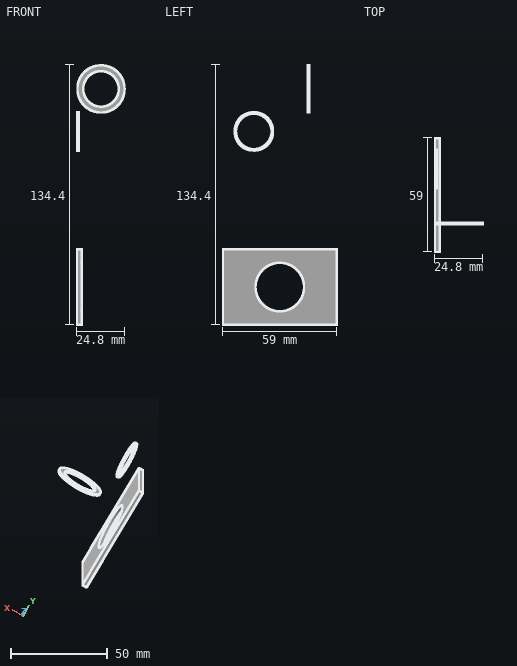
import cadquery as cq

plate_thickness = 2.5
plate_length = 59.0
plate_height = 39.2
plate_hole_diameter = 25.0

ring_bore = 18.3
ring_thickness = 1.0

overall_height = 134.4
washer_diameter = 24.6
washer_center_x = plate_hole_diameter / 2
washer_center_y = -14.8
washer_center_z = overall_height - washer_diameter / 2

narrow_ring_diameter = 20.0
narrow_ring_center_y = 13.5
narrow_ring_center_z = 100.1


def make_plate():
    """Rectangular plate with a central through hole."""
    return (
        cq.Workplane("YZ", origin=(0, 0, plate_height / 2))
        .rect(plate_length, plate_height)
        .circle(plate_hole_diameter / 2)
        .extrude(plate_thickness)
    )


def make_flat_ring(plane, center, outer_diameter):
    """Flat ring extruded from the given plane along its normal."""
    return (
        cq.Workplane(plane, origin=center)
        .circle(outer_diameter / 2)
        .circle(ring_bore / 2)
        .extrude(ring_thickness)
    )


plate = make_plate()

washer_back_y = washer_center_y + ring_thickness / 2
washer = make_flat_ring("XZ", (washer_center_x, washer_back_y, washer_center_z), washer_diameter)

narrow_ring = make_flat_ring("YZ", (0, narrow_ring_center_y, narrow_ring_center_z), narrow_ring_diameter)

result = cq.Compound.makeCompound([plate.val(), washer.val(), narrow_ring.val()])